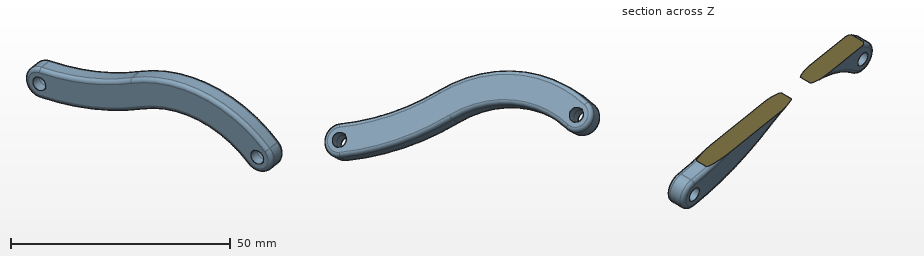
import cadquery as cq
import math

length = 67.0
height = 16.35
thickness = 5.0
end_radius = 3.95
hole_diameter = 3.5
edge_fillet = 1.0
crest_radius = 29.35

hole_spacing = length - 2 * end_radius
crest_rise = height - 2 * end_radius
crest_to_right_hole = math.sqrt(crest_radius**2 - (crest_radius - crest_rise)**2)
crest_x = hole_spacing - crest_to_right_hole
join_angle = 2 * math.atan2(crest_rise, crest_x)
sweep_radius = crest_x / math.sin(join_angle) - crest_radius
right_angle = math.asin(crest_to_right_hole / crest_radius)

sweep_center = (0, sweep_radius)
crest_center = (crest_x, crest_rise - crest_radius)


def point_on_circle(center, radius, angle):
    """Point at an angle measured clockwise from straight up."""
    return (center[0] + radius * math.sin(angle), center[1] + radius * math.cos(angle))


def sweep_point(offset, angle):
    """Point on the concave stretch, offset above the centreline."""
    return point_on_circle(sweep_center, sweep_radius - offset, math.pi - angle)


def crest_point(offset, angle):
    """Point on the convex stretch, offset above the centreline."""
    return point_on_circle(crest_center, crest_radius + offset, angle)


mid_crest_angle = (right_angle - join_angle) / 2
right_tip = point_on_circle((hole_spacing, 0), end_radius, right_angle + math.pi / 2)
arm = (
    cq.Workplane("XZ")
    .moveTo(*sweep_point(end_radius, 0))
    .threePointArc(sweep_point(end_radius, join_angle / 2), sweep_point(end_radius, join_angle))
    .threePointArc(crest_point(end_radius, mid_crest_angle), crest_point(end_radius, right_angle))
    .threePointArc(right_tip, crest_point(-end_radius, right_angle))
    .threePointArc(crest_point(-end_radius, mid_crest_angle), crest_point(-end_radius, -join_angle))
    .threePointArc(sweep_point(-end_radius, join_angle / 2), sweep_point(-end_radius, 0))
    .threePointArc((-end_radius, 0), sweep_point(end_radius, 0))
    .close()
    .extrude(thickness / 2, both=True)
)

arm = arm.faces("<Y or >Y").edges().fillet(edge_fillet)

holes = (
    cq.Workplane("XZ")
    .pushPoints([(0, 0), (hole_spacing, 0)])
    .circle(hole_diameter / 2)
    .extrude(thickness, both=True)
)

result = arm.cut(holes)